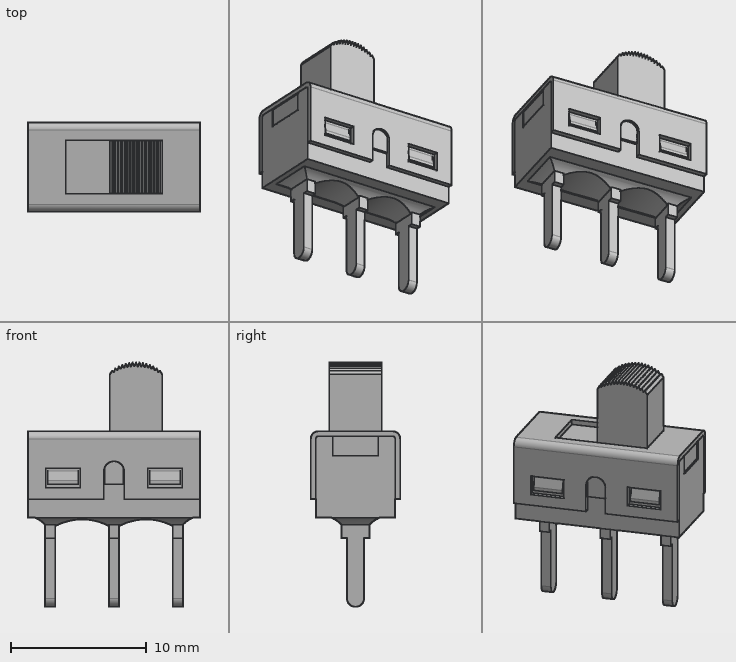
import cadquery as cq


total_height = 18.03
length = 12.7
frame_width = 6.6
frame_top = 12.95
frame_bottom = 7.93
sheet = 0.38
bend_radius = 0.55
base_bottom = 6.58

opening_length = 7.12
opening_width = 3.97

stem_length = 3.88
stem_width = 3.88
crown_drop = 0.9
tooth_count = 15
tooth_pitch = 0.25
tooth_depth = 0.3
tip_radius = 2.81
root_radius = 3.52

slot_width = 1.5
slot_top = 10.73
key_width = 1.39
key_height = 0.2

clip_offset = 3.75
window_length = 2.56
window_bottom = 8.76
window_top = 10.22
clip_length = 2.24
clip_bottom = 9.05
clip_ramp_bottom = 9.32
clip_top = 10.05
clip_height = 0.2

end_pocket_width = 3.32
end_pocket_height = 1.42
end_pocket_depth = 0.1

terminal_count = 3
terminal_pitch = 4.7
terminal_thickness = 0.75
terminal_width = 1.28
shoulder_width = 2.07
shoulder_bottom = 5.07

seal_depth = 0.7
seal_flare = 0.78
seal_inset = 0.15
seal_radius = 1.95
seal_valley_depth = 0.15

base_width = frame_width - 2 * sheet
base_top = frame_top - sheet
inner_bend_radius = bend_radius - sheet
base_side = base_width / 2
stem_center = (opening_length - stem_length) / 2
terminal_positions = [(i - (terminal_count - 1) / 2) * terminal_pitch for i in range(terminal_count)]
sides = (-1, 1)


def block(x_size, y_size, z_low, z_high, x=0, y=0):
    """Box centred at (x, y) between two heights."""
    return cq.Workplane("XY", origin=(x, y, z_low)).box(
        x_size, y_size, z_high - z_low, centered=(True, True, False)
    )


def arc_drop(radius, offset):
    """How far an arc has fallen below its top at a sideways offset."""
    return radius - (radius**2 - offset**2) ** 0.5


def slot_cutter():
    """Round-topped slot through both skirts, open at the bottom."""
    slot_radius = slot_width / 2
    spring_line = slot_top - slot_radius
    return (
        cq.Workplane("XZ")
        .moveTo(-slot_radius, base_bottom)
        .lineTo(-slot_radius, spring_line)
        .threePointArc((0, slot_top), (slot_radius, spring_line))
        .lineTo(slot_radius, base_bottom)
        .close()
        .extrude(frame_width, both=True)
    )


def make_frame():
    """Folded sheet channel over the base, with actuator opening, clip windows and slots."""
    outside = block(length, frame_width, frame_bottom, frame_top).edges("|X and >Z").fillet(bend_radius)
    inside = block(length, base_width, frame_bottom, base_top).edges("|X and >Z").fillet(inner_bend_radius)
    frame = outside.cut(inside)
    frame = frame.cut(block(opening_length, opening_width, base_top, frame_top))
    for side in sides:
        frame = frame.cut(
            block(window_length, frame_width, window_bottom, window_top, x=side * clip_offset)
        )
    return frame.cut(slot_cutter())


def make_clip():
    """Snap clip on the -Y face of the base: sloped above, square below."""
    return (
        cq.Workplane("YZ", origin=(-clip_length / 2, 0, 0))
        .moveTo(-base_side, clip_bottom)
        .lineTo(-base_side - clip_height, clip_bottom)
        .lineTo(-base_side - clip_height, clip_ramp_bottom)
        .lineTo(-base_side, clip_top)
        .close()
        .extrude(clip_length)
    )


def make_base():
    """Moulded block with snap clips, keys and shallow end pockets."""
    base = block(length, base_width, base_bottom, base_top).edges("|X and >Z").fillet(inner_bend_radius)
    for end in sides:
        base = base.cut(
            block(
                2 * end_pocket_depth, end_pocket_width, base_top - end_pocket_height, base_top,
                x=end * length / 2,
            )
        )
    clip = make_clip()
    for side in sides:
        clip_at_x = clip.translate((side * clip_offset, 0, 0))
        base = base.union(clip_at_x).union(clip_at_x.mirror("XZ"))
    keys = block(key_width, base_width + 2 * key_height, clip_bottom, slot_top)
    return base.union(keys.intersect(slot_cutter()))


def make_actuator():
    """Stem with a toothed, arched crown."""
    half = stem_length / 2
    shoulder = total_height - crown_drop
    first_tip = -(tooth_count - 1) / 2 * tooth_pitch
    crown = []
    for i in range(tooth_count):
        tip_x = first_tip + i * tooth_pitch
        crown.append((tip_x, total_height - arc_drop(tip_radius, tip_x)))
        if i < tooth_count - 1:
            root_x = tip_x + tooth_pitch / 2
            crown.append((root_x, total_height - tooth_depth - arc_drop(root_radius, root_x)))
    outline = [(-half, base_top), (-half, shoulder), *crown, (half, shoulder), (half, base_top)]
    return (
        cq.Workplane("XZ", origin=(stem_center, 0, 0))
        .polyline(outline)
        .close()
        .extrude(stem_width / 2, both=True)
    )


def make_terminal(x):
    """Flat blade with a shouldered root and a round tip."""
    half_blade = terminal_width / 2
    half_shoulder = shoulder_width / 2
    return (
        cq.Workplane("YZ", origin=(x - terminal_thickness / 2, 0, 0))
        .moveTo(-half_blade, half_blade)
        .threePointArc((0, 0), (half_blade, half_blade))
        .lineTo(half_blade, shoulder_bottom)
        .lineTo(half_shoulder, shoulder_bottom)
        .lineTo(half_shoulder, base_bottom)
        .lineTo(-half_shoulder, base_bottom)
        .lineTo(-half_shoulder, shoulder_bottom)
        .lineTo(-half_blade, shoulder_bottom)
        .close()
        .extrude(terminal_thickness)
    )


def make_seal():
    """Sealing compound: a lengthwise profile crossed with a crosswise one."""
    peak = base_bottom - seal_depth
    valley = base_bottom - seal_valley_depth
    end_x = terminal_positions[-1] + terminal_thickness / 2 + seal_flare
    peak_half = terminal_thickness / 2 - seal_inset
    end_y = shoulder_width / 2 + seal_flare
    ridge_half = shoulder_width / 2 - seal_inset

    lengthwise = (
        cq.Workplane("XZ")
        .moveTo(-end_x, base_bottom)
        .radiusArc((terminal_positions[0] - peak_half, peak), seal_radius)
        .lineTo(terminal_positions[0] + peak_half, peak)
    )
    for left, right in zip(terminal_positions, terminal_positions[1:]):
        lengthwise = lengthwise.threePointArc(((left + right) / 2, valley), (right - peak_half, peak))
        lengthwise = lengthwise.lineTo(right + peak_half, peak)
    lengthwise = (
        lengthwise.radiusArc((end_x, base_bottom), seal_radius).close().extrude(end_y, both=True)
    )
    crosswise = (
        cq.Workplane("YZ")
        .moveTo(-end_y, base_bottom)
        .radiusArc((-ridge_half, peak), seal_radius)
        .lineTo(ridge_half, peak)
        .radiusArc((end_y, base_bottom), seal_radius)
        .close()
        .extrude(end_x, both=True)
    )
    return lengthwise.intersect(crosswise)


def make_terminal_set():
    """Three terminals held together by the sealing compound under the base."""
    terminal_set = make_seal()
    for x in terminal_positions:
        terminal_set = terminal_set.union(make_terminal(x))
    return terminal_set


frame = make_frame()
base = make_base()
actuator = make_actuator()
terminal_set = make_terminal_set()

result = cq.Compound.makeCompound([frame.val(), base.val(), actuator.val(), terminal_set.val()])